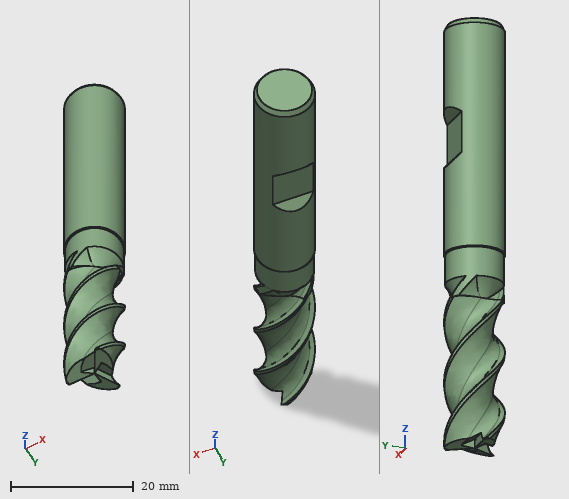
import cadquery as cq
import math

TOTAL_LENGTH = 73.0
TOOL_DIAMETER = 10.0
TOOL_RADIUS = TOOL_DIAMETER / 2

NECK_TOP = 33.4
NECK_RADIUS = 4.8
SHOULDER_CHAMFER = TOOL_RADIUS - NECK_RADIUS
TOP_CHAMFER_WIDTH = 0.5
TOP_CHAMFER_HEIGHT = 0.95

FLAT_CENTER = 53.3
FLAT_LENGTH = 7.0
FLAT_DEPTH = 1.5

CUTTER_LENGTH = 25.1
TOOTH_COUNT = 3
TOOTH_PITCH = 360 / TOOTH_COUNT
HELIX_LEAD = math.pi * TOOL_DIAMETER
FIRST_EDGE_ANGLE = 180.0

LAND_ANGLE = 9.0
LAND_END_RADIUS = 4.9
LAND_MIDDLE_RADIUS = (TOOL_RADIUS + LAND_END_RADIUS) / 2
BACK_MIDDLE_RADIUS = 3.8
BACK_MIDDLE_SHIFT = 6.0
FLOOR_ANGLE = 72.0
FLOOR_RADIUS = 3.1
RAKE_MIDDLE_ANGLE = 100.0
RAKE_MIDDLE_RADIUS = 3.2
RAKE_TOP_ANGLE = 116.0
RAKE_TOP_RADIUS = 4.1

RUNOUT_LENGTH = 3.15
RUNOUT_SAG_DEPTH = 0.2
RUNOUT_LAND_ANGLE = 20.0

END_RELIEF_ANGLE = 13.0
GASH_WIDTH = 2.2
GASH_HEIGHT = 1.6
GASH_TOE_HEIGHT = 0.45
CORNER_CHAMFER = 0.3


def polar(radius, degrees):
    angle = math.radians(degrees)
    return radius * math.cos(angle), radius * math.sin(angle)


def helix_turn(length):
    """Angle in degrees that the helix turns over an axial length."""
    return 360 * length / HELIX_LEAD


def fluted_bar(bottom, length, land_angle):
    """Twisted bar whose teeth follow the tool's helix from the bottom height."""
    start = FIRST_EDGE_ANGLE + helix_turn(bottom)
    back_middle_angle = (land_angle + FLOOR_ANGLE) / 2 - BACK_MIDDLE_SHIFT
    section = cq.Workplane("XY", origin=(0, 0, bottom)).moveTo(*polar(TOOL_RADIUS, start))
    for tooth in range(TOOTH_COUNT):
        edge = start + tooth * TOOTH_PITCH
        section = (
            section.threePointArc(
                polar(LAND_MIDDLE_RADIUS, edge + land_angle / 2),
                polar(LAND_END_RADIUS, edge + land_angle),
            )
            .threePointArc(
                polar(BACK_MIDDLE_RADIUS, edge + back_middle_angle),
                polar(FLOOR_RADIUS, edge + FLOOR_ANGLE),
            )
            .threePointArc(
                polar(RAKE_MIDDLE_RADIUS, edge + RAKE_MIDDLE_ANGLE),
                polar(RAKE_TOP_RADIUS, edge + RAKE_TOP_ANGLE),
            )
            .lineTo(*polar(TOOL_RADIUS, edge + TOOTH_PITCH))
        )
    return section.close().twistExtrude(length, helix_turn(length))


def radial_prism(points, edge_angle):
    """Prism along a cutting edge; points are (distance behind the edge, height)."""
    prism = cq.Workplane("YZ").polyline(points).close().extrude(TOOL_DIAMETER)
    return prism.rotate((0, 0, 0), (0, 0, 1), edge_angle)


def make_cutter():
    body = fluted_bar(0, CUTTER_LENGTH, LAND_ANGLE)

    envelope = cq.Workplane("XY").circle(TOOL_DIAMETER).extrude(CUTTER_LENGTH)
    corner_blank = cq.Workplane("XY").circle(TOOL_RADIUS).extrude(CUTTER_LENGTH)
    corner_blank = corner_blank.faces("<Z").chamfer(CORNER_CHAMFER)
    body = body.cut(envelope.cut(corner_blank))

    relief_rise = TOOL_DIAMETER * math.tan(math.radians(END_RELIEF_ANGLE))
    relief = [(0, 0), (TOOL_DIAMETER, 0), (TOOL_DIAMETER, relief_rise)]
    gash = [(0, 0), (0, GASH_HEIGHT), (-GASH_WIDTH, GASH_TOE_HEIGHT), (-GASH_WIDTH, 0)]
    for tooth in range(TOOTH_COUNT):
        edge = FIRST_EDGE_ANGLE + tooth * TOOTH_PITCH
        body = body.cut(radial_prism(relief, edge))
        body = body.cut(radial_prism(gash, edge))
    return body


def make_runout():
    """Neck end where the flutes rise to the surface along a flared core."""
    top = CUTTER_LENGTH + RUNOUT_LENGTH
    flare_middle = (
        (FLOOR_RADIUS + NECK_RADIUS) / 2 - RUNOUT_SAG_DEPTH,
        (CUTTER_LENGTH + top) / 2,
    )
    flare = (
        cq.Workplane("XZ")
        .moveTo(0, CUTTER_LENGTH)
        .lineTo(FLOOR_RADIUS, CUTTER_LENGTH)
        .threePointArc(flare_middle, (NECK_RADIUS, top))
        .lineTo(0, top)
        .close()
        .revolve(360, (0, 0), (0, 1))
    )
    blank = cq.Workplane("XY", origin=(0, 0, CUTTER_LENGTH)).circle(NECK_RADIUS).extrude(RUNOUT_LENGTH)
    teeth = fluted_bar(CUTTER_LENGTH, RUNOUT_LENGTH, RUNOUT_LAND_ANGLE)
    return blank.intersect(teeth).union(flare)


def make_shank():
    neck_bottom = CUTTER_LENGTH + RUNOUT_LENGTH
    profile = [
        (0, neck_bottom),
        (NECK_RADIUS, neck_bottom),
        (NECK_RADIUS, NECK_TOP - SHOULDER_CHAMFER),
        (TOOL_RADIUS, NECK_TOP),
        (TOOL_RADIUS, TOTAL_LENGTH - TOP_CHAMFER_HEIGHT),
        (TOOL_RADIUS - TOP_CHAMFER_WIDTH, TOTAL_LENGTH),
        (0, TOTAL_LENGTH),
    ]
    body = cq.Workplane("XZ").polyline(profile).close().revolve(360, (0, 0), (0, 1))

    half_floor = FLAT_LENGTH / 2
    half_mouth = half_floor + FLAT_DEPTH
    flat_y = TOOL_RADIUS - FLAT_DEPTH
    flat = (
        cq.Workplane("YZ")
        .polyline([
            (flat_y, FLAT_CENTER - half_floor),
            (TOOL_RADIUS, FLAT_CENTER - half_mouth),
            (TOOL_RADIUS, FLAT_CENTER + half_mouth),
            (flat_y, FLAT_CENTER + half_floor),
        ])
        .close()
        .extrude(TOOL_RADIUS, both=True)
    )
    return body.cut(flat).union(make_runout())


shank = make_shank()
cutter = make_cutter()
result = cq.Compound.makeCompound([*shank.solids().vals(), *cutter.solids().vals()])